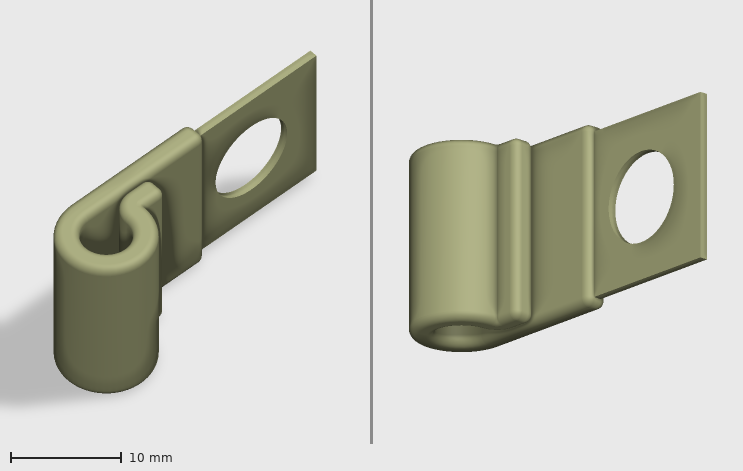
import cadquery as cq


overall_length = 33.3
loop_outer_diameter = 9.5
loop_radius = loop_outer_diameter / 2
cushion_width = 17.4

tab_thickness = 0.813
tab_end_y = overall_length - loop_radius
tab_embedment = 2.0
hole_diameter = 8.73
hole_end_distance = 7.94

edge_radius = 0.762
wall = tab_thickness + 2 * edge_radius
tab_width = cushion_width - 2 * edge_radius
bore_radius = loop_radius - wall
leg_length = 14.29
lip_length = 2.5

leg_x = -(bore_radius + wall / 2)
lip_x = -wall / 2
lip_start_y = loop_radius


def wall_section(center_x):
    """Rounded cushion cross-section in the XZ plane."""
    return (
        cq.Workplane("XZ")
        .center(center_x, 0)
        .sketch()
        .rect(wall, cushion_width)
        .vertices()
        .fillet(edge_radius)
        .finalize()
    )


def straight_wall(center_x, start_y, length):
    """Straight stretch of cushion along +Y with a rounded free end."""
    bar = wall_section(center_x).extrude(-length)
    return bar.faces(">Y").edges().fillet(edge_radius).translate((0, start_y, 0))


def curved_wall(center_x, angle):
    """Cushion cross-section revolved counterclockwise about the Z axis at the origin."""
    return wall_section(center_x).revolve(angle, (-center_x, 0, 0), (-center_x, 1, 0))


def make_loop():
    """Three quarters of a ring, from the leg round to the top of the loop."""
    return curved_wall(leg_x, 270)


def make_lip_bend():
    """Quarter bend about the inner corner, turning the loop end back toward +Y."""
    return curved_wall(lip_x, 90).translate((0, lip_start_y, 0))


def make_tab():
    """Flat metal tab with its mounting hole, rooted inside the cushion leg."""
    tab_start_y = leg_length - tab_embedment
    tab_length = tab_end_y - tab_start_y
    tab = cq.Workplane("XY").box(tab_thickness, tab_length, tab_width)
    tab = tab.translate((leg_x, tab_start_y + tab_length / 2, 0))
    hole = (
        cq.Workplane("YZ", origin=(leg_x, 0, 0))
        .center(tab_end_y - hole_end_distance, 0)
        .circle(hole_diameter / 2)
        .extrude(tab_thickness, both=True)
    )
    return tab.cut(hole)


leg = straight_wall(leg_x, 0, leg_length)
lip = straight_wall(lip_x, lip_start_y, lip_length)

result = make_loop().union(leg).union(make_lip_bend()).union(lip).union(make_tab())